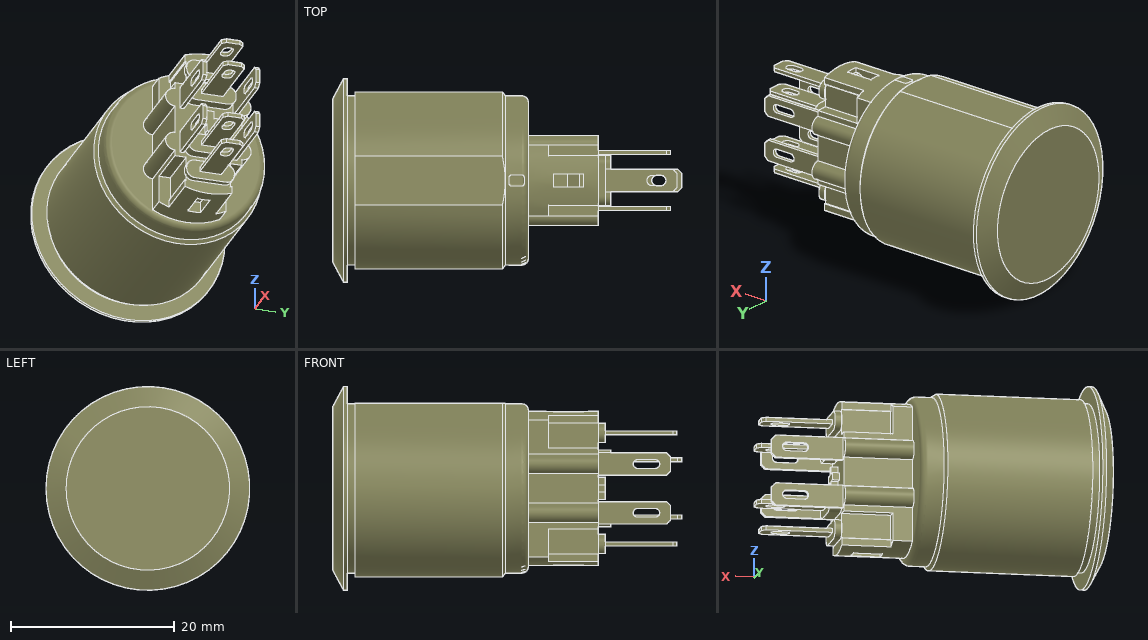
import cadquery as cq


rim_start = 1.33
rim_end = 1.8
neck_end = 2.75
barrel_chamfer_start = 20.8
collar_start = 21.2
collar_end = 24.0
housing_end = 32.55
overall_length = 42.8

face_radius = 10.0
bezel_radius = 12.5
neck_radius = 10.4
barrel_radius = 10.85
collar_fillet = 0.85
barrel_flat_height = 10.45

notch_start = 21.6
notch_length = 1.9
notch_width = 1.35
notch_depth = 0.35
notch_corner = 0.35
notch_floor_fillet = 0.2

housing_radius = 9.45
housing_half_width = 4.32
recess_start = 26.45
recess_half_width = 3.05
recess_bottom = 4.95
panel_top = 8.05
panel_step = 0.15
rib_radius = 1.2
rib_height = 3.0

snap_start = 27.1
snap_ramp_start = 28.75
snap_ramp_end = 30.25
snap_end = 30.75
snap_width = 1.63
snap_floor = 8.05
snap_step = 8.8

terminal_width = 2.8
terminal_thickness = 0.5
terminal_chamfer = 0.5
outer_terminal_height = 6.8
outer_terminal_end = 42.2
inner_terminal_height = 3.5
side_terminal_height = 3.0
side_terminal_offset = 3.42
side_terminal_end = 41.45
hole_length = 2.3
hole_width = 1.25
hole_end_margin = 1.35
side_hole_length = 3.2
side_hole_width = 1.05

boss_length = 6.15
boss_thickness = 2.4
boss_corner = 1.05
outer_boss_end = 33.43
inner_boss_end = 34.1
cross_size = 2.75
cross_arm = 0.9


def box(x_range, y_range, z_range):
    """Box between the given limits on each axis."""
    size = [high - low for low, high in (x_range, y_range, z_range)]
    corner = (x_range[0], y_range[0], z_range[0])
    return cq.Workplane("XY").box(*size, centered=False).translate(corner)


def make_turned_body():
    front = (
        cq.Workplane("XY")
        .moveTo(0, 0)
        .lineTo(0, face_radius)
        .lineTo(rim_start, bezel_radius)
        .lineTo(rim_end, bezel_radius)
        .lineTo(rim_end, neck_radius)
        .lineTo(neck_end, neck_radius)
        .lineTo(neck_end, barrel_radius)
        .lineTo(barrel_chamfer_start, barrel_radius)
        .lineTo(collar_start, neck_radius)
        .lineTo(collar_start, 0)
        .close()
        .revolve(360, (0, 0, 0), (1, 0, 0))
    )
    flat_cut = box(
        (neck_end, collar_start),
        (-barrel_radius, barrel_radius),
        (barrel_flat_height, 2 * barrel_radius),
    )
    collar = (
        cq.Workplane("YZ", origin=(collar_start, 0, 0))
        .circle(neck_radius)
        .extrude(collar_end - collar_start)
        .faces(">X")
        .edges()
        .fillet(collar_fillet)
    )
    notch = (
        cq.Workplane("XY", origin=(notch_start + notch_length / 2, 0, neck_radius - notch_depth))
        .rect(notch_length, notch_width)
        .extrude(2 * notch_depth)
        .edges("|Z")
        .fillet(notch_corner)
        .faces("<Z")
        .edges()
        .fillet(notch_floor_fillet)
    )
    return front.cut(flat_cut).union(collar.cut(notch))


def make_recess(y_side, z_side):
    """Corner recess of the housing, with its lower wall stepped in slightly."""
    x_range = (recess_start, housing_end)
    upper = box(x_range, (recess_half_width, housing_radius), (recess_bottom, housing_radius))
    lower = box(x_range, (recess_half_width - panel_step, housing_radius), (recess_bottom, panel_top))
    recess = upper.union(lower)
    if y_side < 0:
        recess = recess.mirror("XZ")
    if z_side < 0:
        recess = recess.mirror("XY")
    return recess


def make_snap_pocket():
    return (
        cq.Workplane("XZ")
        .moveTo(snap_start, snap_floor)
        .lineTo(snap_ramp_start, snap_floor)
        .lineTo(snap_ramp_end, snap_step)
        .lineTo(snap_end, snap_step)
        .lineTo(snap_end, 2 * housing_radius)
        .lineTo(snap_start, 2 * housing_radius)
        .close()
        .extrude(snap_width / 2, both=True)
    )


def make_housing():
    length = housing_end - collar_end
    base = cq.Workplane("YZ", origin=(collar_end, 0, 0))
    slab = base.rect(2 * housing_half_width, 2 * housing_radius).extrude(length)
    housing = base.circle(housing_radius).extrude(length).intersect(slab)
    for y_side in (-1, 1):
        for z_side in (-1, 1):
            housing = housing.cut(make_recess(y_side, z_side))
    snap_pocket = make_snap_pocket()
    housing = housing.cut(snap_pocket).cut(snap_pocket.mirror("XY"))
    rib_centers = [(y * housing_half_width, z * rib_height) for y in (-1, 1) for z in (-1, 1)]
    ribs = base.pushPoints(rib_centers).circle(rib_radius).extrude(length)
    return housing.union(ribs)


def make_boss(height, end):
    """Rounded block behind the housing, around a terminal at the given height."""
    return (
        cq.Workplane("YZ", origin=(housing_end, 0, height))
        .rect(boss_length, boss_thickness)
        .extrude(end - housing_end)
        .edges("|X")
        .fillet(boss_corner)
    )


def make_center_cross():
    base = cq.Workplane("YZ", origin=(housing_end, 0, 0))
    length = outer_boss_end - housing_end
    upright = base.rect(cross_arm, cross_size).extrude(length)
    return upright.union(base.rect(cross_size, cross_arm).extrude(length))


def make_terminal(end, slot_length, slot_width):
    """Flat terminal in the XY plane with clipped tip corners and a slotted hole."""
    plate = box(
        (housing_end, end),
        (-terminal_width / 2, terminal_width / 2),
        (-terminal_thickness / 2, terminal_thickness / 2),
    )
    plate = plate.edges("|Z and >X").chamfer(terminal_chamfer)
    hole = (
        cq.Workplane("XY", origin=(end - hole_end_margin - slot_length / 2, 0, 0))
        .slot2D(slot_length, slot_width)
        .extrude(terminal_thickness, both=True)
    )
    return plate.cut(hole)


result = make_turned_body().union(make_housing()).union(make_center_cross())

outer_terminal = make_terminal(outer_terminal_end, hole_length, hole_width)
inner_terminal = make_terminal(overall_length, hole_length, hole_width)
side_terminal = make_terminal(side_terminal_end, side_hole_length, side_hole_width)
side_terminal = side_terminal.rotate((0, 0, 0), (1, 0, 0), 90)

for z_sign in (-1, 1):
    outer_z = z_sign * outer_terminal_height
    inner_z = z_sign * inner_terminal_height
    result = result.union(make_boss(outer_z, outer_boss_end))
    result = result.union(make_boss(inner_z, inner_boss_end))
    result = result.union(outer_terminal.translate((0, 0, outer_z)))
    result = result.union(inner_terminal.translate((0, 0, inner_z)))
    for y_sign in (-1, 1):
        place = (0, y_sign * side_terminal_offset, z_sign * side_terminal_height)
        result = result.union(side_terminal.translate(place))